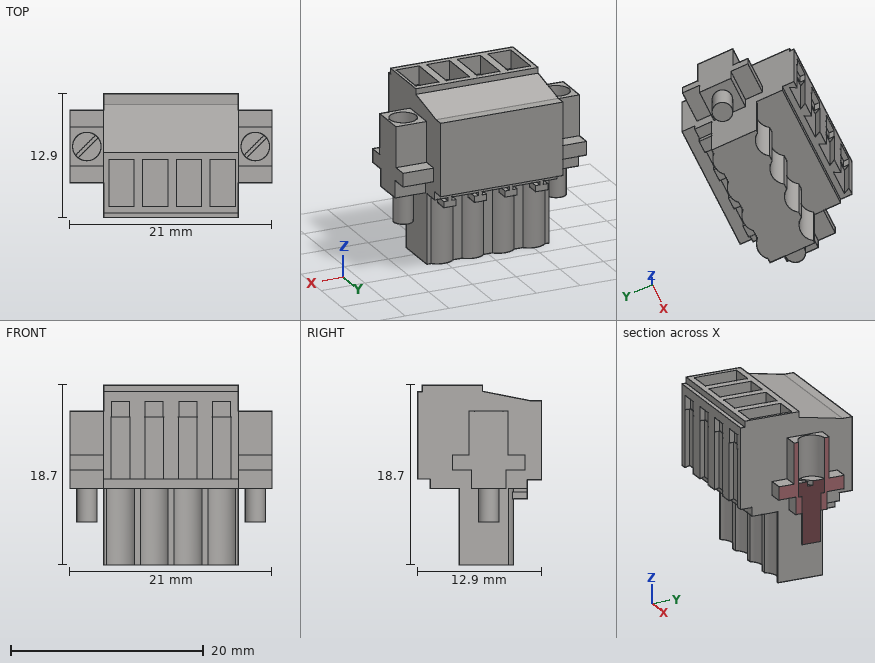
import cadquery as cq
import math

OVERALL_WIDTH = 21.0
POLES = 4
PITCH = OVERALL_WIDTH / (POLES + 2)
HOUSING_WIDTH = POLES * PITCH
EAR_X = (POLES + 1) * PITCH / 2
POLE_CENTRES = [(i - (POLES - 1) / 2) * PITCH for i in range(POLES)]

FRONT_Y = -7.4
BACK_Y = 5.5
TOP_Z = 18.7
BASE_Z = 7.94
FRONT_LIP_Z = 8.92
BACK_LIP_Z = 8.85
BASE_FRONT_Y = -6.07
BASE_BACK_Y = 4.03
RIDGE_FRONT_Y = -6.9
RIDGE_BACK_Y = -0.63
FRONT_SHOULDER_Z = 18.02
SLOPE_TOP_Z = 18.05
SLOPE_FOOT_Y = 4.37
BACK_SHOULDER_Z = 17.07

HOOD_FRONT_Y = -3.07
HOOD_BACK_EDGE_Y = 2.08
LOBE_RADIUS = PITCH / 2
LOBE_RISE = 0.52
LOBE_WIDTH = 2 * math.sqrt(LOBE_RADIUS**2 - (LOBE_RADIUS - LOBE_RISE) ** 2)
FLUTE_WIDTH = 2.88
FLUTE_DEPTH = 0.75

TAB_BOTTOM_Z = 6.89
TAB_STEP_Z = 7.58
TAB_WIDTH = 1.39
TAB_NECK_WIDTH = 0.42

ENTRY_WIDTH = 2.62
ENTRY_OFFSET_X = 0.1
ENTRY_FRONT_Y = -6.22
ENTRY_BACK_Y = -1.35
ENTRY_DEPTH = 2.08

WINDOW_WIDTH = 1.87
WINDOW_TOP_Z = 16.99
WINDOW_DEPTH = 0.59
GROOVE_TOP_Z = 15.4
GROOVE_MOUTH_WIDTH = 1.93
GROOVE_FLOOR_WIDTH = 2.65
GROOVE_DEPTH = 0.7

EAR_TOP_Z = 16.0
EAR_DEPTH = 4.05
WING_TOP_Z = 11.42
WING_BOTTOM_Z = 9.9
WING_DEPTH = 7.54
EAR_FOOT_DEPTH = 3.61

HEAD_DIAMETER = 2.96
HEAD_TOP_Z = WING_TOP_Z
HEAD_BOTTOM_Z = WING_BOTTOM_Z
SHANK_DIAMETER = 2.15
SHANK_BOTTOM_Z = 4.45
SLOT_WIDTH = 0.38
SLOT_DEPTH = 0.5
SLOT_ANGLE = 45


def box(x_centre, width, y_min, y_max, z_min, z_max):
    """Block centred on x_centre that spans the given Y and Z limits."""
    return (
        cq.Workplane("XY")
        .box(width, y_max - y_min, z_max - z_min, centered=(True, False, False))
        .translate((x_centre, y_min, z_min))
    )


def cylinder(x_centre, diameter, z_min, z_max):
    """Upright cylinder on a screw axis."""
    return cq.Workplane("XY", origin=(x_centre, 0, z_min)).circle(diameter / 2).extrude(z_max - z_min)


def make_block():
    """Upper block: one side outline extruded over the width of the poles."""
    outline = [
        (BASE_FRONT_Y, BASE_Z),
        (BASE_BACK_Y, BASE_Z),
        (BASE_BACK_Y, BACK_LIP_Z),
        (BACK_Y, BACK_LIP_Z),
        (BACK_Y, BACK_SHOULDER_Z),
        (SLOPE_FOOT_Y, BACK_SHOULDER_Z),
        (RIDGE_BACK_Y, SLOPE_TOP_Z),
        (RIDGE_BACK_Y, TOP_Z),
        (RIDGE_FRONT_Y, TOP_Z),
        (RIDGE_FRONT_Y, FRONT_SHOULDER_Z),
        (FRONT_Y, FRONT_SHOULDER_Z),
        (FRONT_Y, FRONT_LIP_Z),
        (BASE_FRONT_Y, FRONT_LIP_Z),
    ]
    return cq.Workplane("YZ").polyline(outline).close().extrude(HOUSING_WIDTH / 2, both=True)


def make_hood():
    """Plug hood: a concave flute in front and a rounded lobe behind for each pole."""
    left = -HOUSING_WIDTH / 2
    hood = cq.Workplane("XY").moveTo(left, HOOD_FRONT_Y)
    for x in POLE_CENTRES:
        hood = hood.lineTo(x - FLUTE_WIDTH / 2, HOOD_FRONT_Y).threePointArc(
            (x, HOOD_FRONT_Y + FLUTE_DEPTH), (x + FLUTE_WIDTH / 2, HOOD_FRONT_Y)
        )
    hood = hood.lineTo(-left, HOOD_FRONT_Y).lineTo(-left, HOOD_BACK_EDGE_Y)
    for x in reversed(POLE_CENTRES):
        hood = hood.lineTo(x + LOBE_WIDTH / 2, HOOD_BACK_EDGE_Y).threePointArc(
            (x, HOOD_BACK_EDGE_Y + LOBE_RISE), (x - LOBE_WIDTH / 2, HOOD_BACK_EDGE_Y)
        )
    return hood.lineTo(left, HOOD_BACK_EDGE_Y).close().extrude(BASE_Z)


def make_coding_tab(x):
    """T-shaped tab that hangs below the block behind one lobe."""
    bar = box(x, TAB_WIDTH, HOOD_BACK_EDGE_Y, BASE_BACK_Y, TAB_BOTTOM_Z, TAB_STEP_Z)
    neck = box(x, TAB_NECK_WIDTH, HOOD_BACK_EDGE_Y, BASE_BACK_Y, TAB_STEP_Z, BASE_Z)
    return bar.union(neck)


def make_ear(x):
    """Fixing ear with two wings and a stepped hole for its screw."""
    ear = box(x, PITCH, -EAR_DEPTH / 2, EAR_DEPTH / 2, WING_TOP_Z, EAR_TOP_Z)
    ear = ear.union(box(x, PITCH, -WING_DEPTH / 2, WING_DEPTH / 2, WING_BOTTOM_Z, WING_TOP_Z))
    ear = ear.union(box(x, PITCH, -EAR_FOOT_DEPTH / 2, EAR_FOOT_DEPTH / 2, BASE_Z, WING_BOTTOM_Z))
    ear = ear.cut(cylinder(x, HEAD_DIAMETER, HEAD_BOTTOM_Z, EAR_TOP_Z))
    return ear.cut(cylinder(x, SHANK_DIAMETER, BASE_Z, HEAD_BOTTOM_Z))


def make_groove(x):
    """Dovetail groove, open at the bottom, that widens towards its floor."""
    floor_y = FRONT_Y + GROOVE_DEPTH
    section = [
        (x - GROOVE_MOUTH_WIDTH / 2, FRONT_Y),
        (x + GROOVE_MOUTH_WIDTH / 2, FRONT_Y),
        (x + GROOVE_FLOOR_WIDTH / 2, floor_y),
        (x - GROOVE_FLOOR_WIDTH / 2, floor_y),
    ]
    height = GROOVE_TOP_Z - FRONT_LIP_Z
    return cq.Workplane("XY", origin=(0, 0, FRONT_LIP_Z)).polyline(section).close().extrude(height)


def make_housing():
    """Housing: block, hood, tabs and ears, with the wire entries, grooves and windows cut in."""
    housing = make_block().union(make_hood())
    for x in POLE_CENTRES:
        housing = housing.union(make_coding_tab(x))
    for x in POLE_CENTRES:
        entry_x = x + ENTRY_OFFSET_X
        housing = housing.cut(
            box(entry_x, ENTRY_WIDTH, ENTRY_FRONT_Y, ENTRY_BACK_Y, TOP_Z - ENTRY_DEPTH, TOP_Z)
        )
        housing = housing.cut(make_groove(x))
        housing = housing.cut(
            box(x, WINDOW_WIDTH, FRONT_Y, FRONT_Y + WINDOW_DEPTH, GROOVE_TOP_Z, WINDOW_TOP_Z)
        )
    for x in (-EAR_X, EAR_X):
        housing = housing.union(make_ear(x))
    return housing


def make_screw(x):
    """Flange screw with a diagonal driver slot."""
    screw = cylinder(x, HEAD_DIAMETER, HEAD_BOTTOM_Z, HEAD_TOP_Z)
    screw = screw.union(cylinder(x, SHANK_DIAMETER, SHANK_BOTTOM_Z, HEAD_BOTTOM_Z))
    slot = (
        cq.Workplane("XY", origin=(x, 0, HEAD_TOP_Z))
        .transformed(rotate=(0, 0, SLOT_ANGLE))
        .rect(2 * HEAD_DIAMETER, SLOT_WIDTH)
        .extrude(-SLOT_DEPTH)
    )
    return screw.cut(slot)


housing = make_housing()
screws = [make_screw(x) for x in (-EAR_X, EAR_X)]

result = cq.Compound.makeCompound([housing.val(), *[screw.val() for screw in screws]])